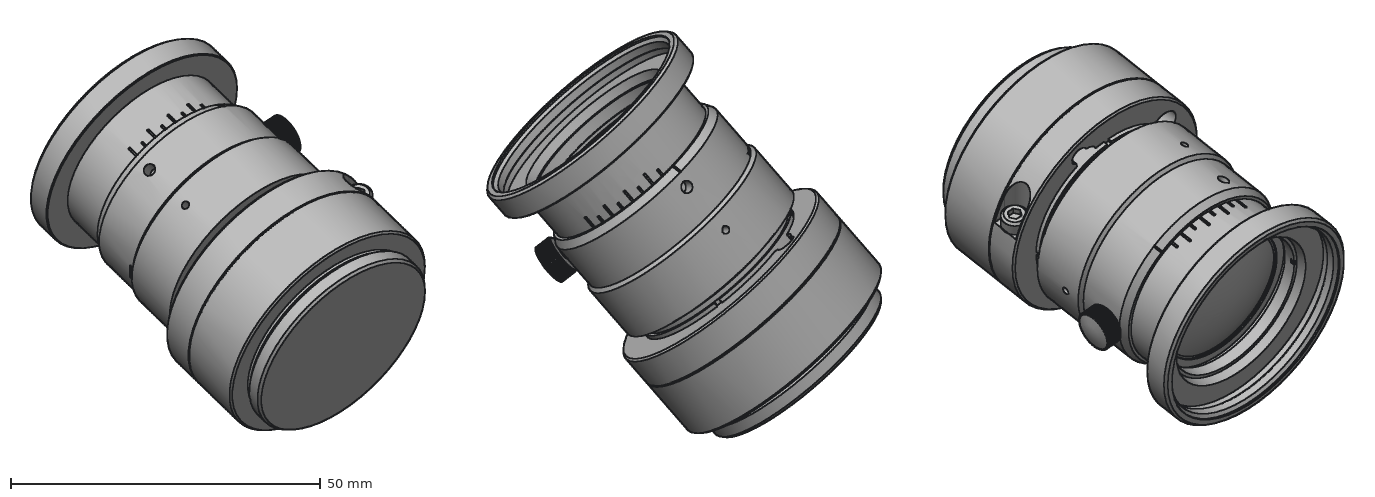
import cadquery as cq
import math

LENGTH = 55.55

FLANGE_R = 20.0
FLANGE_THICK = 4.55
FLANGE_FRONT_CHAMFER = 0.45
FLANGE_REAR_CHAMFER = 0.15
RECESS_MOUTH_R = 37.2 / 2
RECESS_LIP_R = 18.05
RECESS_CONE_START = 0.35
RECESS_LIP_START = 0.9
RECESS_LIP_END = 2.35
RECESS_FLOOR_R = 18.3
RECESS_DEPTH = 3.5

BORE_MOUTH_R = 28.65 / 2
BORE_END_R = 27.95 / 2
BORE_DEPTH = 5.15
INNER_BORE_R = 26.7 / 2
INNER_BORE_DEPTH = 7.35
UNDERCUT_R = 27.5 / 2
UNDERCUT_DEPTH = 8.05
SEAT_R = 24.5 / 2
LENS_R = 23.7 / 2
LENS_EDGE_DEPTH = 8.4
LENS_BULGE = 3.05
KEY_WIDTH = 0.65
KEY_HEIGHT = 0.35
KEY_LENGTH = 0.85

SCALE_R = 15.65
TICK_WIDTH = 0.35
TICK_DEPTH = 0.1
LONG_TICK = 2.3
SHORT_TICK = 1.3
TICK_COUNT = 8
TICK_PITCH = 7.8
FIRST_TICK_ANGLE = -25
INDEX_ANGLE = -33
INDEX_WIDTH = 0.3

APERTURE_START = 12.8
APERTURE_CONE_END = 14.15
APERTURE_FACE_R = 16.2
APERTURE_R = 34.0 / 2
APERTURE_END = 22.6
WINDOW_WIDTH = 3.0
WINDOW_LENGTH = 0.65
WINDOW_DEPTH = 0.3

FOCUS_R = 17.6
FOCUS_CHAMFER = FOCUS_R - APERTURE_R
FOCUS_END = 32.85

APERTURE_HOLE_X = 16.65
APERTURE_HOLE_DIA = 2.0
FOCUS_HOLE_X = 26.15
FOCUS_HOLE_DIA = 1.3
SET_SCREW_DEPTH = 2.8
SET_SCREW_ANGLES = (0, 120, 240)

NECK_R = 14.55
NECK_END = 33.6
NECK_STEP_R = 30 / 2
NECK_STEP_END = 34.55
COLLAR_R = 15.55
NOTCH_WIDTH = 0.95
NOTCH_COUNT = 4

CLAMP_START = 35.35
CLAMP_END = 51.85
CLAMP_R = 41.0 / 2
CLAMP_CHAMFER = 0.35
PARTING_X = 41.15
PARTING_WIDTH = 0.2
PARTING_DEPTH = 0.3
MIDDLE_HOLE_ANGLE = 143.5
MIDDLE_HOLE_CIRCLE_R = 16.0
MIDDLE_HOLE_R = 2.6
SIDE_HOLE_OFFSET = 70
SIDE_HOLE_CIRCLE_R = 15.3
SIDE_HOLE_R = 2.15
LOBE_OFFSET = 73.5
LOBE_CIRCLE_R = 17.3
LOBE_R = 1.6

SCREW_X = 38.35
SCREW_Y = 17.45
SCREW_HEAD_R = 2.3
SCREW_HEAD_BASE_Z = 6.1
SCREW_HEAD_TOP_Z = 8.65
SCREW_HEAD_CHAMFER = 0.45
POCKET_R = 2.5
SOCKET_FLATS = 2.05
SOCKET_DEPTH = 1.1

REAR_NECK_R = 16.95
REAR_NECK_END = 52.4
RIM_R = 17.55
RIM_START = 53.0
RIM_CHAMFER_LENGTH = 0.5
RIM_END_R = 17.15

KNOB_X = 16.6
KNOB_R = 3.5
KNOB_BASE_Y = 17.35
KNOB_EDGE_Y = 20.5
KNOB_TOP_Y = 21.0
KNOB_CHAMFER = 0.3
KNOB_STEM_R = 2.05 / 2
KNOB_STEM_INSET = 0.55
KNURL_COUNT = 36
KNURL_WIDTH = 0.3
KNURL_DEPTH = 0.2


def turned(points):
    """Revolve an (X, radius) outline, closed along the X axis, about the X axis."""
    outline = [(points[0][0], 0)] + points + [(points[-1][0], 0)]
    return cq.Workplane("XY").polyline(outline).close().revolve(360, (0, 0, 0), (1, 0, 0))


def radial_hole(x, angle, diameter, outer_radius, depth):
    """Round cutter pointing at the axis; the angle turns about X from +Y towards +Z."""
    cutter = cq.Workplane("XZ", origin=(x, outer_radius - depth, 0)).circle(diameter / 2).extrude(-2 * depth)
    return cutter.rotate((0, 0, 0), (1, 0, 0), angle)


def make_front_barrel():
    """Flange, scale barrel, aperture ring, focus ring and stepped neck."""
    return turned([
        (0, FLANGE_R - FLANGE_FRONT_CHAMFER),
        (FLANGE_FRONT_CHAMFER, FLANGE_R),
        (FLANGE_THICK - FLANGE_REAR_CHAMFER, FLANGE_R),
        (FLANGE_THICK, FLANGE_R - FLANGE_REAR_CHAMFER),
        (FLANGE_THICK, SCALE_R),
        (APERTURE_START, SCALE_R),
        (APERTURE_START, APERTURE_FACE_R),
        (APERTURE_CONE_END, APERTURE_R),
        (APERTURE_END, APERTURE_R),
        (APERTURE_END + FOCUS_CHAMFER, FOCUS_R),
        (FOCUS_END, FOCUS_R),
        (FOCUS_END, NECK_R),
        (NECK_END, NECK_R),
        (NECK_END, NECK_STEP_R),
        (NECK_STEP_END, NECK_STEP_R),
        (NECK_STEP_END, COLLAR_R),
        (PARTING_X, COLLAR_R),
    ])


def face_hole(circle_r, angle, radius):
    """Round cutter in the front face of the clamp, as deep as the parting groove."""
    cutter = cq.Workplane("YZ", origin=(CLAMP_START, 0, 0)).center(circle_r, 0).circle(radius)
    return cutter.extrude(PARTING_X - CLAMP_START).rotate((0, 0, 0), (1, 0, 0), angle)


def make_face_holes():
    """A round middle hole between two mirrored side holes, each with an outer lobe."""
    holes = face_hole(MIDDLE_HOLE_CIRCLE_R, MIDDLE_HOLE_ANGLE, MIDDLE_HOLE_R)
    for side in (-1, 1):
        hole_angle = MIDDLE_HOLE_ANGLE + side * SIDE_HOLE_OFFSET
        lobe_angle = MIDDLE_HOLE_ANGLE + side * LOBE_OFFSET
        holes = holes.union(face_hole(SIDE_HOLE_CIRCLE_R, hole_angle, SIDE_HOLE_R))
        holes = holes.union(face_hole(LOBE_CIRCLE_R, lobe_angle, LOBE_R))
    return holes


def make_clamp():
    """Clamp body with its parting groove, face holes, screw pocket and rear rim."""
    groove_start = PARTING_X - PARTING_WIDTH / 2
    groove_end = PARTING_X + PARTING_WIDTH / 2
    groove_r = CLAMP_R - PARTING_DEPTH
    body = turned([
        (CLAMP_START, CLAMP_R - CLAMP_CHAMFER),
        (CLAMP_START + CLAMP_CHAMFER, CLAMP_R),
        (groove_start, CLAMP_R),
        (groove_start, groove_r),
        (groove_end, groove_r),
        (groove_end, CLAMP_R),
        (CLAMP_END - CLAMP_CHAMFER, CLAMP_R),
        (CLAMP_END, CLAMP_R - CLAMP_CHAMFER),
        (CLAMP_END, REAR_NECK_R),
        (REAR_NECK_END, REAR_NECK_R),
        (RIM_START, RIM_R),
        (LENGTH - RIM_CHAMFER_LENGTH, RIM_R),
        (LENGTH, RIM_END_R),
    ])
    pocket_plane = cq.Workplane("XY", origin=(SCREW_X, SCREW_Y, SCREW_HEAD_BASE_Z))
    pocket = pocket_plane.circle(POCKET_R).extrude(CLAMP_R)
    mouth = pocket_plane.rect(2 * POCKET_R, CLAMP_R).extrude(CLAMP_R).translate((0, CLAMP_R / 2, 0))
    return body.cut(make_face_holes()).cut(pocket.union(mouth))


def make_clamp_screw():
    """Cap screw head with a hexagon socket."""
    head_height = SCREW_HEAD_TOP_Z - SCREW_HEAD_BASE_Z
    socket_corners = SOCKET_FLATS / math.cos(math.pi / 6)
    head = (
        cq.Workplane("XY", origin=(SCREW_X, SCREW_Y, SCREW_HEAD_BASE_Z))
        .circle(SCREW_HEAD_R)
        .extrude(head_height)
        .faces(">Z").chamfer(SCREW_HEAD_CHAMFER)
    )
    socket = (
        cq.Workplane("XY", origin=(SCREW_X, SCREW_Y, SCREW_HEAD_TOP_Z))
        .transformed(rotate=(0, 0, 90))
        .polygon(6, socket_corners)
        .extrude(-SOCKET_DEPTH)
    )
    return head.cut(socket)


def make_front_cavity():
    """Stepped recess in front of the lens, with the bulging lens left standing in it."""
    cavity = turned([
        (0, RECESS_MOUTH_R),
        (RECESS_CONE_START, RECESS_MOUTH_R),
        (RECESS_LIP_START, RECESS_LIP_R),
        (RECESS_LIP_END, RECESS_LIP_R),
        (RECESS_LIP_END, RECESS_FLOOR_R),
        (RECESS_DEPTH, RECESS_FLOOR_R),
        (RECESS_DEPTH, BORE_MOUTH_R),
        (BORE_DEPTH, BORE_END_R),
        (BORE_DEPTH, INNER_BORE_R),
        (INNER_BORE_DEPTH, INNER_BORE_R),
        (INNER_BORE_DEPTH, UNDERCUT_R),
        (UNDERCUT_DEPTH, UNDERCUT_R),
        (UNDERCUT_DEPTH, SEAT_R),
        (LENS_EDGE_DEPTH, SEAT_R),
    ])
    sphere_r = (LENS_R ** 2 + LENS_BULGE ** 2) / (2 * LENS_BULGE)
    apex_x = LENS_EDGE_DEPTH - LENS_BULGE
    half_r = LENS_R / 2
    half_x = apex_x + sphere_r - math.sqrt(sphere_r ** 2 - half_r ** 2)
    lens = (
        cq.Workplane("XY")
        .moveTo(apex_x, 0)
        .threePointArc((half_x, half_r), (LENS_EDGE_DEPTH, LENS_R))
        .lineTo(LENS_EDGE_DEPTH, 0)
        .close()
        .revolve(360, (0, 0, 0), (1, 0, 0))
    )
    return cavity.cut(lens)


def make_key_notches():
    """Two small notches in the edge of the inner bore, on the +Y and -Y sides."""
    return (
        cq.Workplane("XY", origin=(BORE_DEPTH + KEY_LENGTH / 2, 0, 0))
        .pushPoints([(0, INNER_BORE_R), (0, -INNER_BORE_R)])
        .box(KEY_LENGTH, 2 * KEY_HEIGHT, KEY_WIDTH)
    )


def make_ticks():
    """Shallow scale grooves in two opposite groups, alternating short and long."""
    ticks = cq.Workplane("XY")
    for i in range(TICK_COUNT):
        length = LONG_TICK if i % 2 else SHORT_TICK
        tick = cq.Workplane("XY").box(length, TICK_WIDTH, 2 * TICK_DEPTH)
        tick = tick.translate((APERTURE_START - length / 2, 0, SCALE_R))
        for group_angle in (0, 180):
            angle = group_angle + FIRST_TICK_ANGLE + i * TICK_PITCH
            ticks.add(tick.rotate((0, 0, 0), (1, 0, 0), angle))
    return ticks.combine()


def make_index_marks():
    """Two opposite grooves along the cone of the aperture ring."""
    cone_run = APERTURE_CONE_END - APERTURE_START
    cone_rise = APERTURE_R - APERTURE_FACE_R
    slope = math.degrees(math.atan2(cone_rise, cone_run))
    mark = (
        cq.Workplane("XY")
        .box(math.hypot(cone_run, cone_rise), INDEX_WIDTH, 2 * TICK_DEPTH)
        .rotate((0, 0, 0), (0, 1, 0), -slope)
        .translate((APERTURE_START + cone_run / 2, 0, APERTURE_FACE_R + cone_rise / 2))
        .rotate((0, 0, 0), (1, 0, 0), INDEX_ANGLE)
    )
    return mark.union(mark.rotate((0, 0, 0), (1, 0, 0), 180))


def make_collar_notches():
    """Notches around the collar that meets the clamp."""
    length = CLAMP_START - NECK_STEP_END
    depth = COLLAR_R - NECK_STEP_R
    return (
        cq.Workplane("YZ", origin=(NECK_STEP_END, 0, 0))
        .polarArray(COLLAR_R, 0, 360, NOTCH_COUNT)
        .rect(2 * depth, NOTCH_WIDTH)
        .extrude(length)
    )


def make_knob():
    """Knurled knob with a domed top, on a stem reaching into the aperture ring."""
    dome_r = KNOB_R - KNOB_CHAMFER
    dome_height = KNOB_TOP_Y - KNOB_EDGE_Y
    sphere_r = (dome_r ** 2 + dome_height ** 2) / (2 * dome_height)
    mid_y = KNOB_TOP_Y - sphere_r + math.sqrt(sphere_r ** 2 - (dome_r / 2) ** 2)
    head = (
        cq.Workplane("XY")
        .moveTo(0, KNOB_BASE_Y)
        .lineTo(KNOB_R - KNOB_CHAMFER, KNOB_BASE_Y)
        .lineTo(KNOB_R, KNOB_BASE_Y + KNOB_CHAMFER)
        .lineTo(KNOB_R, KNOB_EDGE_Y - KNOB_CHAMFER / 2)
        .lineTo(dome_r, KNOB_EDGE_Y)
        .threePointArc((dome_r / 2, mid_y), (0, KNOB_TOP_Y))
        .close()
        .revolve(360, (0, 0, 0), (0, 1, 0))
    )
    knurls = (
        cq.Workplane("XZ", origin=(0, KNOB_BASE_Y, 0))
        .polarArray(KNOB_R, 0, 360, KNURL_COUNT)
        .rect(2 * KNURL_DEPTH, KNURL_WIDTH)
        .extrude(KNOB_BASE_Y - KNOB_TOP_Y)
    )
    stem_start = APERTURE_R - KNOB_STEM_INSET
    stem = cq.Workplane("XZ", origin=(0, stem_start, 0)).circle(KNOB_STEM_R).extrude(stem_start - KNOB_EDGE_Y)
    return head.cut(knurls).union(stem).translate((KNOB_X, 0, 0))


result = make_front_barrel().union(make_clamp()).cut(make_front_cavity()).cut(make_key_notches())
result = result.cut(make_ticks()).cut(make_index_marks()).cut(make_collar_notches())

for hole_angle in SET_SCREW_ANGLES[1:]:
    result = result.cut(
        radial_hole(APERTURE_HOLE_X, hole_angle, APERTURE_HOLE_DIA, APERTURE_R, SET_SCREW_DEPTH)
    )
for hole_angle in SET_SCREW_ANGLES:
    result = result.cut(
        radial_hole(FOCUS_HOLE_X, hole_angle, FOCUS_HOLE_DIA, FOCUS_R, SET_SCREW_DEPTH)
    )

window = cq.Workplane("XY").box(WINDOW_LENGTH, 2 * WINDOW_DEPTH, WINDOW_WIDTH)
result = result.cut(window.translate((APERTURE_END - WINDOW_LENGTH / 2, -APERTURE_R, 0)))

result = result.union(make_clamp_screw()).union(make_knob())